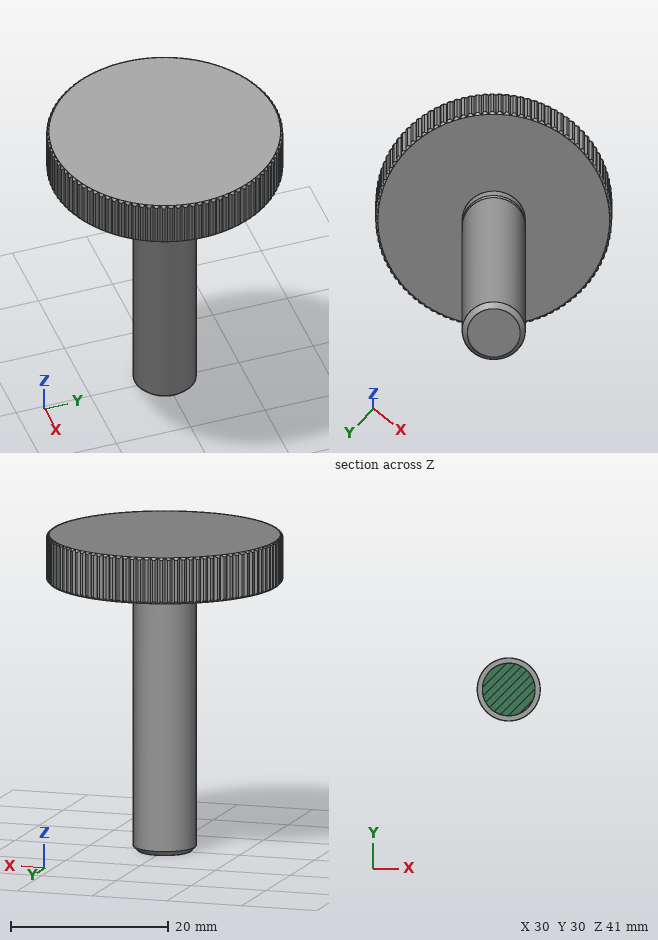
import cadquery as cq
import math

total_length = 41.0
head_height = 6.0
stud_radius = 4.0
stud_end_z = 0.0
head_top_z = stud_end_z + total_length
head_bottom_z = head_top_z - head_height

head_chamfer = 0.3
stud_chamfer = 0.65
neck_length = 2.0
undercut_depth = 0.65

groove_count = 100
groove_depth = 0.3
groove_angle = 90.0
root_diameter = 29.4
root_radius = root_diameter / 2
head_radius = root_radius + groove_depth



def make_stud():
    """Revolve the stud: chamfered end, plain shank, and neck tapering down to the undercut."""
    neck_bottom_z = head_bottom_z - neck_length
    undercut_radius = stud_radius - undercut_depth
    return (
        cq.Workplane("XZ")
        .moveTo(0, stud_end_z)
        .lineTo(stud_radius - stud_chamfer, stud_end_z)
        .lineTo(stud_radius, stud_end_z + stud_chamfer)
        .lineTo(stud_radius, neck_bottom_z)
        .lineTo(undercut_radius, neck_bottom_z)
        .lineTo(stud_radius, neck_bottom_z + undercut_depth)
        .lineTo(stud_radius, head_bottom_z)
        .lineTo(0, head_bottom_z)
        .close()
        .revolve(360, (0, 0), (0, 1))
    )


def knurl_outline():
    """Closed outline of the head: a circular arc for each tooth crest, a V for each groove."""
    pitch = 2 * math.pi / groove_count
    half_mouth = math.atan(groove_depth * math.tan(math.radians(groove_angle / 2)) / head_radius)

    def point(radius, angle):
        return (radius * math.cos(angle), radius * math.sin(angle))

    outline = cq.Workplane("XY", origin=(0, 0, head_bottom_z)).moveTo(*point(root_radius, 0))
    for index in range(groove_count):
        groove = index * pitch
        next_groove = groove + pitch
        outline = outline.lineTo(*point(head_radius, groove + half_mouth))
        outline = outline.threePointArc(
            point(head_radius, groove + pitch / 2),
            point(head_radius, next_groove - half_mouth),
        )
        if index < groove_count - 1:
            outline = outline.lineTo(*point(root_radius, next_groove))
    return outline.close()


def make_head():
    """Knurled disc with both rims bevelled by a chamfered envelope."""
    envelope = (
        cq.Workplane("XY", origin=(0, 0, head_bottom_z))
        .circle(head_radius)
        .extrude(head_height)
        .edges()
        .chamfer(head_chamfer)
    )
    return knurl_outline().extrude(head_height).intersect(envelope)


result = make_head().union(make_stud())